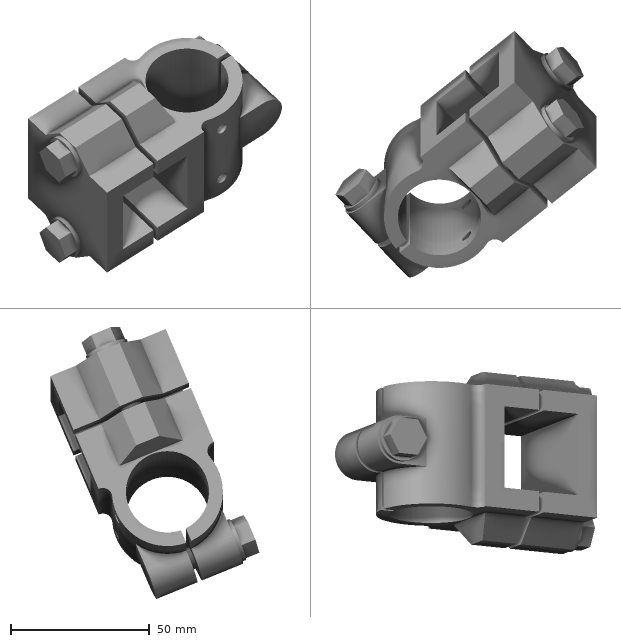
import cadquery as cq
import math


bore_diameter = 29.9
ring_diameter = 40.0
body_size = 45.0
slit = 1.95

window_size = 29.9
window_y = -33.1
shoulder_y = -10.5
neck_fillet = 3.35
front_y = window_y - body_size / 2

ridge_span = 62.0
ridge_base_width = 25.0
ridge_top_width = 8.9
ridge_base_rear_y = -15.4
ridge_top_rear_y = -18.5

lug_length = 33.7
lug_diameter = 17.7
lug_y = 21.6
lug_front_y = 10.7

shank_diameter = 8.0
washer_diameter = 16.0
washer_thickness = 1.6
head_across_flats = 13.0
head_sides = 6
head_height = 5.4
front_bolt_z = 22.7
front_bolt_length = 37.2
lug_bolt_length = 27.9

set_screw_diameter = 4.5
set_screw_z = 13.95


def make_ring_and_block():
    """Ring joined to the square block, with rounded necks between them."""
    ring_radius = ring_diameter / 2
    fillet_y = shoulder_y + neck_fillet
    center_distance = ring_radius + neck_fillet
    fillet_x = math.sqrt(center_distance**2 - fillet_y**2)
    tangent_x = fillet_x * ring_radius / center_distance
    tangent_y = fillet_y * ring_radius / center_distance

    half = body_size / 2
    return (
        cq.Workplane("XY", origin=(0, 0, -half))
        .moveTo(-half, front_y)
        .lineTo(half, front_y)
        .lineTo(half, shoulder_y)
        .lineTo(fillet_x, shoulder_y)
        .radiusArc((tangent_x, tangent_y), neck_fillet)
        .threePointArc((0, ring_radius), (-tangent_x, tangent_y))
        .radiusArc((-fillet_x, shoulder_y), neck_fillet)
        .lineTo(-half, shoulder_y)
        .close()
        .extrude(body_size)
    )


def make_ridges():
    """Trapezoidal bars along Y above and below the block, sloped down at their rear ends."""
    base_z = body_size / 2
    top_z = ridge_span / 2
    ridge_length = ridge_base_rear_y - front_y
    section = (
        cq.Workplane("XZ", origin=(0, front_y, 0))
        .polyline([
            (-ridge_base_width / 2, base_z),
            (-ridge_top_width / 2, top_z),
            (ridge_top_width / 2, top_z),
            (ridge_base_width / 2, base_z),
            (ridge_base_width / 2, -base_z),
            (ridge_top_width / 2, -top_z),
            (-ridge_top_width / 2, -top_z),
            (-ridge_base_width / 2, -base_z),
        ])
        .close()
        .extrude(-ridge_length)
    )
    side = (
        cq.Workplane("YZ")
        .polyline([
            (front_y, -top_z),
            (ridge_top_rear_y, -top_z),
            (ridge_base_rear_y, -base_z),
            (ridge_base_rear_y, base_z),
            (ridge_top_rear_y, top_z),
            (front_y, top_z),
        ])
        .close()
        .extrude(ridge_base_width / 2, both=True)
    )
    return section.intersect(side)


def make_lug():
    """Cross lug with a rounded rear side."""
    radius = lug_diameter / 2
    return (
        cq.Workplane("YZ")
        .moveTo(lug_front_y, -radius)
        .lineTo(lug_y, -radius)
        .threePointArc((lug_y + radius, 0), (lug_y, radius))
        .lineTo(lug_front_y, radius)
        .close()
        .extrude(lug_length / 2, both=True)
    )


def make_bolt(seat, shank_length):
    """Bolt with a washer; the head points along the normal of the seat plane."""
    corner_diameter = head_across_flats / math.cos(math.pi / head_sides)
    shank = cq.Workplane(seat).circle(shank_diameter / 2).extrude(-shank_length)
    washer = cq.Workplane(seat).circle(washer_diameter / 2).extrude(washer_thickness)
    head = (
        cq.Workplane(seat)
        .polygon(head_sides, corner_diameter)
        .extrude(washer_thickness + head_height)
    )
    return shank.union(washer).union(head)


body = make_ring_and_block().union(make_ridges()).union(make_lug())

bore = cq.Workplane("XY").circle(bore_diameter / 2).extrude(body_size, both=True)
body = body.cut(bore)

window = cq.Workplane("XY").box(body_size, window_size, window_size)
body = body.cut(window.translate((0, window_y, 0)))

block_slit = cq.Workplane("XY").box(body_size, slit, 2 * body_size)
body = body.cut(block_slit.translate((0, window_y, 0)))

ring_slit_length = lug_y + lug_diameter / 2
ring_slit = cq.Workplane("XY").box(slit, ring_slit_length, body_size)
body = body.cut(ring_slit.translate((0, ring_slit_length / 2, 0)))

for z in (-set_screw_z, set_screw_z):
    set_screw_hole = cq.Workplane("YZ", origin=(0, 0, z)).circle(set_screw_diameter / 2)
    body = body.cut(set_screw_hole.extrude(body_size / 2))

result = body
for z in (-front_bolt_z, front_bolt_z):
    front_seat = cq.Plane(origin=(0, front_y, z), xDir=(1, 0, 0), normal=(0, -1, 0))
    result = result.union(make_bolt(front_seat, front_bolt_length))

lug_seat = cq.Plane(origin=(-lug_length / 2, lug_y, 0), xDir=(0, 1, 0), normal=(-1, 0, 0))
result = result.union(make_bolt(lug_seat, lug_bolt_length))